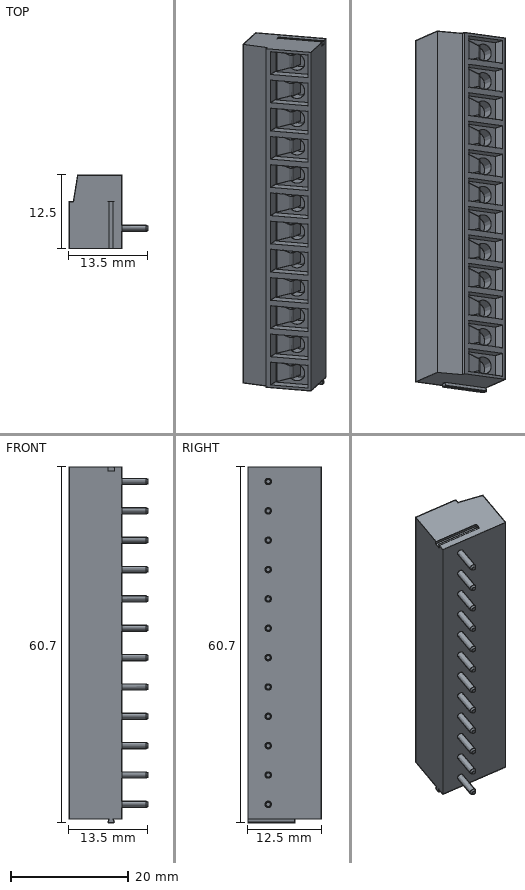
import cadquery as cq


overall_height = 60.7
pole_count = 12
housing_height = 60.0
pitch = housing_height / pole_count
housing_depth = 9.0
housing_width = 12.5
step_y = 8.0
step_x = 0.7
top_setback = 1.45

window_height = 4.0
window_depth = 1.95
window_y_min = 0.55
window_y_max = 7.15
floor_y_min = 0.85
floor_y_max = 6.6
gutter_y = 6.9
gutter_depth = 0.3

hole_y = 3.15
hole_diameter = 2.9
hole_depth = 2.3
leaf_thickness = 0.05
leaf_root_width = 3.75
leaf_tip_width = 2.2
bend_start_y = 4.25
leaf_tip_y = 3.75
bend_drop = 0.35
bend_bulge = 0.05
leg_reach = 0.6

pin_diameter = 1.1
pin_length = 4.5
pin_y = 3.45
pin_chamfer_length = 0.35
pin_chamfer_inset = 0.2

rail_x = 7.15
rail_height = overall_height - housing_height
rail_neck_width = 0.7
rail_wide_width = 1.1
rail_tip_width = 0.85
rail_wide_depth = 0.55
groove_lip_depth = 0.2
groove_depth = 0.65

floor_x = window_depth
hole_floor_x = window_depth + hole_depth
pole_heights = [(i + 0.5) * pitch for i in range(pole_count)]


def make_housing():
    outline = [
        (0, 0),
        (housing_depth, 0),
        (housing_depth, housing_width),
        (top_setback, housing_width),
        (step_x, step_y),
        (0, step_y),
    ]
    return cq.Workplane("XY").polyline(outline).close().extrude(housing_height)


def extrude_centred(profile, width, z):
    """Extrude a closed XY profile by width, centred on height z."""
    return profile.extrude(width / 2, both=True).translate((0, 0, z))


def make_rail():
    """Dovetail bar along Y hanging down from the housing."""
    neck, wide, tip = rail_neck_width / 2, rail_wide_width / 2, rail_tip_width / 2
    outline = [
        (rail_x - neck, 0),
        (rail_x - wide, -rail_wide_depth),
        (rail_x - tip, -rail_height),
        (rail_x + tip, -rail_height),
        (rail_x + wide, -rail_wide_depth),
        (rail_x + neck, 0),
    ]
    return cq.Workplane("XZ").polyline(outline).close().extrude(-step_y)


def make_groove():
    """Undercut groove along Y in the top face, narrow at the mouth."""
    mouth, wide = rail_neck_width / 2, rail_wide_width / 2
    lip_z = housing_height - groove_lip_depth
    floor_z = housing_height - groove_depth
    outline = [
        (rail_x - mouth, housing_height),
        (rail_x - wide, lip_z),
        (rail_x - wide, floor_z),
        (rail_x + wide, floor_z),
        (rail_x + wide, lip_z),
        (rail_x + mouth, housing_height),
    ]
    return cq.Workplane("XZ").polyline(outline).close().extrude(-step_y)


def make_window(z):
    outline = [
        (0, window_y_min),
        (floor_x, floor_y_min),
        (floor_x, floor_y_max),
        (floor_x + gutter_depth, gutter_y),
        (0, window_y_max),
    ]
    return extrude_centred(cq.Workplane("XY").polyline(outline).close(), window_height, z)


def make_leaf(z):
    """Tapered leaf on the window floor with a rounded tip that drops into the hole."""
    face_x = floor_x - leaf_thickness
    bend_mid = (face_x + bend_drop / 2 - bend_bulge, (bend_start_y + leaf_tip_y) / 2 - bend_bulge)
    profile = (
        cq.Workplane("XY")
        .moveTo(hole_floor_x, floor_y_max)
        .lineTo(face_x, floor_y_max)
        .lineTo(face_x, bend_start_y)
        .threePointArc(bend_mid, (face_x + bend_drop, leaf_tip_y))
        .lineTo(hole_floor_x, leaf_tip_y - leg_reach)
        .close()
    )
    taper = [
        (leaf_tip_y - leg_reach, leaf_tip_width / 2),
        (bend_start_y, leaf_tip_width / 2),
        (floor_y_max, leaf_root_width / 2),
        (floor_y_max, -leaf_root_width / 2),
        (bend_start_y, -leaf_tip_width / 2),
        (leaf_tip_y - leg_reach, -leaf_tip_width / 2),
    ]
    tapered = cq.Workplane("YZ").polyline(taper).close().extrude(housing_depth)
    return extrude_centred(profile, leaf_root_width, z).intersect(tapered.translate((0, 0, z)))


def make_clamp_hole(z):
    return (
        cq.Workplane("YZ", origin=(floor_x, hole_y, z))
        .circle(hole_diameter / 2)
        .extrude(hole_depth)
    )


def make_pin(z):
    radius = pin_diameter / 2
    tip_radius = radius - pin_chamfer_inset
    half_section = [
        (0, 0),
        (0, radius),
        (pin_length - pin_chamfer_length, radius),
        (pin_length, tip_radius),
        (pin_length, 0),
    ]
    return (
        cq.Workplane("XY", origin=(housing_depth, pin_y, z))
        .polyline(half_section)
        .close()
        .revolve(360, (0, 0, 0), (1, 0, 0))
    )


result = make_housing().union(make_rail()).cut(make_groove())
for pole_z in pole_heights:
    result = result.cut(make_window(pole_z)).cut(make_clamp_hole(pole_z))
    result = result.union(make_leaf(pole_z)).union(make_pin(pole_z))